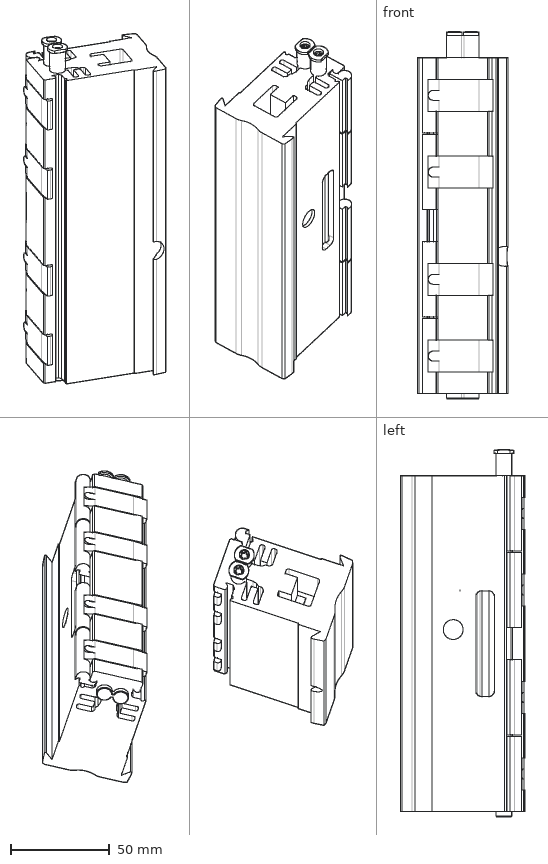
import cadquery as cq
import math

TOTAL_HEIGHT = 185.9
REAR_Y = 31.51
FRONT_Y = -31.51

HOUSING_BOTTOM = 2.6
HOUSING_TOP = 172.7
HOUSING_HEIGHT = HOUSING_TOP - HOUSING_BOTTOM
MID_Z = (HOUSING_BOTTOM + HOUSING_TOP) / 2

LIP_X = 22.95
LIP_TIP_Y = 24.2
LIP_BEND_Y = 25.7
UPPER_SIDE_X = 18.2
LOWER_SIDE_X = 17.7
SIDE_STEP_Y = 15.6
SIDE_END_Y = -21.0
NECK_X = 9.5
NECK_TOP_Y = -22.1
NECK_FOOT_Y = -25.8
BLOCK_X = 13.2
BLOCK_CHAMFER = 0.7
HOOK_LOBE_Y = -24.5
LOBE_INNER_X = 11.0
LOBE_OUTER_X = 12.3
LOBE_SHOULDER_Y = -25.3
ARM_BEAD_X = 15.8
ARM_BEAD_RADIUS = 1.0

TROUGH_RADIUS = 27.0 / 2
TROUGH_HALF_WIDTH = 8.2
TROUGH_DEPTH = 1.7

SLOT_END_X = 15.2
REAR_SLOT_TOP_Y = -6.7
RIB_TOP_Y = -9.7
RIB_BOTTOM_Y = -13.2
FRONT_SLOT_BOTTOM_Y = -16.0
RIB_TIP_X = 7.0
SLOT_END_FILLET = 1.1
SLOT_BULB_X = 5.8
SLOT_BULB_Y = -8.0
SLOT_BULB_FILLET = 1.5

POCKET_HALF_WIDTH = 7.6
POCKET_REAR_Y = 18.5
POCKET_FRONT_Y = 0.7
POCKET_FILLET = 1.3
POCKET_DEPTH = 37.2
POCKET_FLOOR_RADIUS = 20.0
TONGUE_HALF_WIDTH = 4.8
TONGUE_END_Y = 7.5
LEDGE_END_Y = 11.9
LEDGE_HEIGHT = 1.9
LEG_RAMP_Y = 3.3
LEG_RAMP_DROP = 27.9

WINDOW_LENGTH = 53.5
WINDOW_DEPTH = 3.3
WINDOW_FILLET = 3.0
SIDE_HOLE_DIAMETER = 10.0
SIDE_RECESS_DEPTH = 1.7
SIDE_RECESS_Y = 4.8
SIDE_RECESS_Z = 94.8
LIP_HOLE_Y = 25.0
LIP_HOLE_Z = 72.1

TUBE_DIAMETER = 8.0
TUBE_SPACING = 8.5
TUBE_Y = -20.8
TUBE_FOOT_CHAMFER = 0.4
WAIST_FILLET = 0.5
FLANGE_DIAMETER = 10.0
FLANGE_WIDTH = 7.8
FLANGE_HEIGHT = 1.9
FLANGE_CROWN = 0.4
BORE_DIAMETER = 5.0
BORE_DEPTH = 1.9
SOCKET_DEPTH = 3.7
SOCKET_CORE_DIAMETER = 3.0
SOCKET_TIP_DIAMETER = 4.0
SOCKET_LOBE_DIAMETER = 1.0
SOCKET_LOBES = 6

RAIL_X = -17.0
RAIL_Y = -26.2
RAIL_DIAMETER = 7.0
RAIL_LENGTH = 38.1
RAIL_GAP = 0.7
RAIL_ARM_Y = -22.5
RAIL_ARM_X = -18.2
RAIL_TIP_TOP_X = -10.0
RAIL_TIP_X = -9.7
RAIL_TIP_Y = -25.5
RAIL_GROOVE_X = -19.3
RAIL_GROOVE_Y = -25.1
RAIL_LIP_Y = -23.8

CLIP_HEIGHT = 16.2
CLIP_FRONT_Y = -31.0
CLIP_THICKNESS = 1.7
CLIP_LEFT_X = -17.5
CLIP_TAB_X = -12.0
CLIP_TAB_Y = -30.0
CLIP_BEND_X = 8.2
CLIP_HOOK_X = 15.5
CLIP_HOOK_FRONT_Y = -30.5
CLIP_HOOK_REAR_Y = -27.1
CLIP_HOOK_FILLET = 1.5
CLIP_WEDGE_Y = -25.7
CLIP_BACK_Y = CLIP_FRONT_Y + CLIP_THICKNESS
CLIP_FINGER_WIDTH = 5.0

RAIL_OFFSETS = (
    HOUSING_HEIGHT / 2 - RAIL_LENGTH / 2,
    HOUSING_HEIGHT / 2 - RAIL_LENGTH * 3 / 2 - RAIL_GAP,
)
RAIL_CENTRES = [MID_Z + side * offset for offset in RAIL_OFFSETS for side in (1, -1)]


def prism(points, bottom, top):
    """Vertical prism over a closed XY polygon."""
    return cq.Workplane("XY", origin=(0, 0, bottom)).polyline(points).close().extrude(top - bottom)


def box(x_range, y_range, z_range):
    """Box between pairs of limits."""
    size = [high - low for low, high in (x_range, y_range, z_range)]
    corner = (x_range[0], y_range[0], z_range[0])
    return cq.Workplane("XY").box(*size, centered=False).translate(corner)


def side_cylinder(x_range, y, z, diameter):
    """Cylinder along X."""
    low, high = x_range
    return cq.Workplane("YZ", origin=(low, y, z)).circle(diameter / 2).extrude(high - low)



def tube_profile(bottom, top):
    """Figure-eight bar with filleted waist; it also shapes the bore in the housing."""
    radius = TUBE_DIAMETER / 2
    half_spacing = TUBE_SPACING / 2
    fillet_y = math.sqrt((radius + WAIST_FILLET) ** 2 - half_spacing**2)
    waist_y = fillet_y - WAIST_FILLET
    share = radius / (radius + WAIST_FILLET)
    tangent_x = half_spacing * (1 - share)
    tangent_y = fillet_y * share
    return (
        cq.Workplane("XY", origin=(0, TUBE_Y, bottom))
        .moveTo(tangent_x, tangent_y)
        .threePointArc((0, waist_y), (-tangent_x, tangent_y))
        .threePointArc((-half_spacing - radius, 0), (-tangent_x, -tangent_y))
        .threePointArc((0, -waist_y), (tangent_x, -tangent_y))
        .threePointArc((half_spacing + radius, 0), (tangent_x, tangent_y))
        .close()
        .extrude(top - bottom)
    )


def tube_flange(x):
    """Crowned flange, flattened on the two sides along X."""
    rim_z = TOTAL_HEIGHT - FLANGE_CROWN
    base_z = TOTAL_HEIGHT - FLANGE_HEIGHT
    flange = (
        cq.Workplane("XZ")
        .moveTo(0, base_z)
        .lineTo(FLANGE_DIAMETER / 2, base_z)
        .lineTo(FLANGE_DIAMETER / 2, rim_z)
        .lineTo(BORE_DIAMETER / 2, TOTAL_HEIGHT)
        .lineTo(0, TOTAL_HEIGHT)
        .close()
        .revolve(360, (0, 0, 0), (0, 1, 0))
    )
    reach = FLANGE_DIAMETER
    flats = box(
        (-FLANGE_WIDTH / 2, FLANGE_WIDTH / 2), (-reach, reach), (base_z, TOTAL_HEIGHT)
    )
    return flange.intersect(flats).translate((x, TUBE_Y, 0))


def tube_socket(x):
    """Round mouth above a six-lobed drive socket."""
    top = cq.Workplane("XY", origin=(x, TUBE_Y, TOTAL_HEIGHT))
    lobe_circle = (SOCKET_TIP_DIAMETER - SOCKET_LOBE_DIAMETER) / 2
    mouth = top.circle(BORE_DIAMETER / 2).extrude(-BORE_DEPTH)
    core = top.circle(SOCKET_CORE_DIAMETER / 2).extrude(-SOCKET_DEPTH)
    lobes = (
        top.polarArray(lobe_circle, 0, 360, SOCKET_LOBES)
        .circle(SOCKET_LOBE_DIAMETER / 2)
        .extrude(-SOCKET_DEPTH)
    )
    return mouth.union(core).union(lobes)


def make_twin_tube():
    body = tube_profile(0, TOTAL_HEIGHT - FLANGE_HEIGHT)
    body = body.faces("<Z").chamfer(TUBE_FOOT_CHAMFER)
    for x in (-TUBE_SPACING / 2, TUBE_SPACING / 2):
        body = body.union(tube_flange(x)).cut(tube_socket(x))
    return body



def make_rail(centre_z):
    """Round rail with an arm that hooks over the lobe of the housing block."""
    radius = RAIL_DIAMETER / 2
    arc_start_x = RAIL_X + math.sqrt(radius**2 - (LOBE_SHOULDER_Y - RAIL_Y) ** 2)
    return (
        cq.Workplane("XY", origin=(0, 0, centre_z - RAIL_LENGTH / 2))
        .moveTo(RAIL_ARM_X, RAIL_ARM_Y)
        .lineTo(RAIL_TIP_TOP_X, RAIL_ARM_Y)
        .lineTo(RAIL_TIP_X, RAIL_TIP_Y)
        .lineTo(-LOBE_INNER_X, HOOK_LOBE_Y)
        .lineTo(-LOBE_OUTER_X, HOOK_LOBE_Y)
        .lineTo(arc_start_x, LOBE_SHOULDER_Y)
        .threePointArc((RAIL_X, RAIL_Y - radius), (RAIL_X - radius, RAIL_Y))
        .lineTo(RAIL_X - radius, RAIL_LIP_Y)
        .lineTo(RAIL_GROOVE_X, RAIL_GROOVE_Y)
        .lineTo(RAIL_ARM_X, RAIL_GROOVE_Y)
        .close()
        .extrude(RAIL_LENGTH)
    )



def clip_finger(centre_z):
    """Flat finger between the two bent tabs, with a rounded end."""
    radius = CLIP_FINGER_WIDTH / 2
    end_x = CLIP_LEFT_X + radius
    return (
        cq.Workplane("XZ", origin=(0, CLIP_FRONT_Y, centre_z))
        .moveTo(CLIP_TAB_X, radius)
        .lineTo(end_x, radius)
        .threePointArc((CLIP_LEFT_X, 0), (end_x, -radius))
        .lineTo(CLIP_TAB_X, -radius)
        .close()
        .extrude(-(CLIP_TAB_Y - CLIP_FRONT_Y))
    )


def make_clip(centre_z):
    """Plate across the block front, wedged under the rail and hooked round the far side."""
    bottom = centre_z - CLIP_HEIGHT / 2
    top = centre_z + CLIP_HEIGHT / 2
    outline = [
        (CLIP_LEFT_X, CLIP_TAB_Y),
        (CLIP_TAB_X, CLIP_FRONT_Y),
        (CLIP_BEND_X, CLIP_FRONT_Y),
        (CLIP_HOOK_X, CLIP_HOOK_FRONT_Y),
        (CLIP_HOOK_X, CLIP_HOOK_REAR_Y),
        (BLOCK_X, CLIP_HOOK_REAR_Y),
        (BLOCK_X, CLIP_BACK_Y),
        (-BLOCK_X, CLIP_BACK_Y),
        (-BLOCK_X, CLIP_WEDGE_Y),
        (CLIP_LEFT_X, RAIL_Y),
    ]
    clip = prism(outline, bottom, top)
    hook_corner = cq.selectors.NearestToPointSelector((CLIP_HOOK_X, CLIP_HOOK_REAR_Y, centre_z))
    clip = clip.edges(hook_corner).fillet(CLIP_HOOK_FILLET)
    rail_seat = (
        cq.Workplane("XY", origin=(RAIL_X, RAIL_Y, bottom)).circle(RAIL_DIAMETER / 2).extrude(top - bottom)
    )
    return clip.cut(rail_seat).union(clip_finger(centre_z))



def housing_right_edge():
    """Right half of the outer outline, from the end of the trough down to the front."""
    return [
        (TROUGH_HALF_WIDTH, REAR_Y),
        (21.0, REAR_Y),
        (22.3, 30.9),
        (LIP_X, LIP_BEND_Y),
        (LIP_X, LIP_TIP_Y),
        (22.1, LIP_TIP_Y),
        (UPPER_SIDE_X, 27.5),
        (UPPER_SIDE_X, SIDE_STEP_Y),
        (LOWER_SIDE_X, SIDE_STEP_Y),
        (LOWER_SIDE_X, SIDE_END_Y),
        (10.8, SIDE_END_Y),
        (NECK_X, NECK_TOP_Y),
        (NECK_X, NECK_FOOT_Y),
        (LOBE_INNER_X, HOOK_LOBE_Y),
        (LOBE_OUTER_X, HOOK_LOBE_Y),
        (BLOCK_X, LOBE_SHOULDER_Y),
        (BLOCK_X, FRONT_Y + BLOCK_CHAMFER),
        (BLOCK_X - BLOCK_CHAMFER, FRONT_Y),
    ]


def housing_extrusion():
    right = housing_right_edge()
    left = [(-x, y) for x, y in reversed(right)]

    turn = 2 * math.atan(TROUGH_DEPTH / TROUGH_HALF_WIDTH)
    blend_radius = TROUGH_HALF_WIDTH / math.sin(turn) - TROUGH_RADIUS
    floor_y = REAR_Y - TROUGH_DEPTH
    inflection_x = TROUGH_RADIUS * math.sin(turn)
    inflection_y = floor_y + TROUGH_RADIUS * (1 - math.cos(turn))
    blend_x = TROUGH_HALF_WIDTH - blend_radius * math.sin(turn / 2)
    blend_y = REAR_Y - blend_radius * (1 - math.cos(turn / 2))
    return (
        cq.Workplane("XY", origin=(0, 0, HOUSING_BOTTOM))
        .polyline(right + left)
        .threePointArc((-blend_x, blend_y), (-inflection_x, inflection_y))
        .threePointArc((0, floor_y), (inflection_x, inflection_y))
        .threePointArc((blend_x, blend_y), right[0])
        .close()
        .extrude(HOUSING_HEIGHT)
    )


def arm_beads():
    """Small round grooves along the front ends of the two side walls."""
    return (
        cq.Workplane("XY", origin=(0, SIDE_END_Y, HOUSING_BOTTOM))
        .pushPoints([(-ARM_BEAD_X, 0), (ARM_BEAD_X, 0)])
        .circle(ARM_BEAD_RADIUS)
        .extrude(HOUSING_HEIGHT)
    )


def spring_slots():
    """Two slots round a rib on the left, opening into the bore, and their mirror image."""
    outline = [
        (-SLOT_END_X, REAR_SLOT_TOP_Y),
        (-7.0, REAR_SLOT_TOP_Y),
        (-SLOT_BULB_X, SLOT_BULB_Y),
        (-6.0, RIB_TOP_Y),
        (-4.8, -11.2),
        (-4.3, -13.4),
        (-4.3, TUBE_Y),
        (-6.0, TUBE_Y),
        (-6.0, FRONT_SLOT_BOTTOM_Y),
        (-SLOT_END_X, FRONT_SLOT_BOTTOM_Y),
        (-SLOT_END_X, RIB_BOTTOM_Y),
        (-RIB_TIP_X, RIB_BOTTOM_Y),
        (-RIB_TIP_X, RIB_TOP_Y),
        (-SLOT_END_X, RIB_TOP_Y),
    ]
    left = prism(outline, HOUSING_BOTTOM, HOUSING_TOP).edges("<X and |Z").fillet(SLOT_END_FILLET)
    bulb_edge = cq.selectors.NearestToPointSelector((-SLOT_BULB_X, SLOT_BULB_Y, MID_Z))
    left = left.edges(bulb_edge).fillet(SLOT_BULB_FILLET)
    return left.union(left.mirror("YZ"))


def end_pocket():
    """U-shaped pocket in the top end with a crowned floor, a ledge and ramped leg ends."""
    floor_z = HOUSING_TOP - POCKET_DEPTH
    deep_z = floor_z - LEG_RAMP_DROP
    width = (-POCKET_HALF_WIDTH, POCKET_HALF_WIDTH)
    tongue_width = (-TONGUE_HALF_WIDTH, TONGUE_HALF_WIDTH)
    length = (POCKET_FRONT_Y, POCKET_REAR_Y)

    crown = (
        cq.Workplane("XZ", origin=(0, POCKET_REAR_Y, floor_z - POCKET_FLOOR_RADIUS))
        .circle(POCKET_FLOOR_RADIUS)
        .extrude(POCKET_REAR_Y - LEG_RAMP_Y)
    )
    ledge = (
        cq.Workplane("XZ", origin=(0, LEDGE_END_Y, floor_z + LEDGE_HEIGHT - POCKET_FLOOR_RADIUS))
        .circle(POCKET_FLOOR_RADIUS)
        .extrude(LEDGE_END_Y - TONGUE_END_Y)
        .intersect(box(tongue_width, length, (deep_z, HOUSING_TOP)))
    )
    ramp = (
        cq.Workplane("YZ", origin=(-POCKET_HALF_WIDTH, 0, 0))
        .polyline([(LEG_RAMP_Y, floor_z), (LEG_RAMP_Y, deep_z), (POCKET_FRONT_Y, deep_z)])
        .close()
        .extrude(2 * POCKET_HALF_WIDTH)
    )
    tongue = box(tongue_width, (POCKET_FRONT_Y, TONGUE_END_Y), (deep_z, HOUSING_TOP))
    pocket = box(width, length, (deep_z, HOUSING_TOP)).edges("|Z").fillet(POCKET_FILLET)
    return pocket.cut(crown).cut(ledge).cut(ramp).cut(tongue)


def side_window():
    """Long rounded opening that bares the slots on the left side."""
    window = box(
        (-LOWER_SIDE_X, WINDOW_DEPTH - LOWER_SIDE_X),
        (FRONT_SLOT_BOTTOM_Y, REAR_SLOT_TOP_Y),
        (MID_Z - WINDOW_LENGTH / 2, MID_Z + WINDOW_LENGTH / 2),
    )
    return window.edges("|X").fillet(WINDOW_FILLET)


def clip_channel(centre_z):
    """Recess for a clip plate, right across the front of the block."""
    return box(
        (-BLOCK_X, BLOCK_X),
        (FRONT_Y, CLIP_BACK_Y),
        (centre_z - CLIP_HEIGHT / 2, centre_z + CLIP_HEIGHT / 2),
    )


def make_housing():
    side_recess = side_cylinder(
        (-LOWER_SIDE_X, SIDE_RECESS_DEPTH - LOWER_SIDE_X), SIDE_RECESS_Y, SIDE_RECESS_Z, SIDE_HOLE_DIAMETER
    )
    lip_hole = side_cylinder((UPPER_SIDE_X, LIP_X), LIP_HOLE_Y, LIP_HOLE_Z, SIDE_HOLE_DIAMETER)
    housing = housing_extrusion()
    cutters = [
        arm_beads(),
        spring_slots(),
        tube_profile(HOUSING_BOTTOM, HOUSING_TOP),
        end_pocket(),
        side_window(),
        side_recess,
        lip_hole,
    ]
    cutters += [clip_channel(centre_z) for centre_z in RAIL_CENTRES]
    for cutter in cutters:
        housing = housing.cut(cutter)
    return housing


housing = make_housing()
twin_tube = make_twin_tube()
rails = [make_rail(centre_z) for centre_z in RAIL_CENTRES]
clips = [make_clip(centre_z) for centre_z in RAIL_CENTRES]

result = cq.Compound.makeCompound(
    [
        housing.solids().val(),
        twin_tube.solids().val(),
        *[rail.solids().val() for rail in rails],
        *[clip.solids().val() for clip in clips],
    ]
)